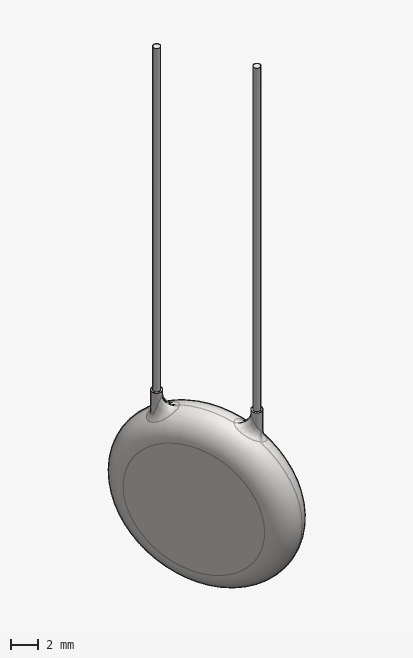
import cadquery as cq
import math

overall_height = 48.25
disc_diameter = 15.5
disc_radius = disc_diameter / 2
disc_thickness = 4.0
rim_radius = disc_thickness / 2
face_radius = disc_radius - rim_radius

lead_diameter = 0.6
lead_x = 3.7
lead_y = 0.68
lead_top = overall_height - disc_radius

sleeve_diameter = 0.85
sleeve_top = 8.75
sleeve_fillet = 0.95
root_z = disc_radius / 2

size_tolerance = 0.1


def make_disc():
    """Flat round disc with a fully rounded rim, revolved about Y."""
    rim_rise = rim_radius * math.sqrt(0.5)
    return (
        cq.Workplane("XY")
        .moveTo(0, -rim_radius)
        .lineTo(face_radius, -rim_radius)
        .threePointArc((face_radius + rim_rise, -rim_rise), (disc_radius, 0))
        .threePointArc((face_radius + rim_rise, rim_rise), (face_radius, rim_radius))
        .lineTo(0, rim_radius)
        .close()
        .revolve(360, (0, 0, 0), (0, 1, 0))
        .rotate((0, 0, 0), (0, 1, 0), 90)
    )


def upright_rod(side, diameter, bottom, top):
    """Vertical rod at one lead position; side is -1 or +1."""
    return (
        cq.Workplane("XY", origin=(side * lead_x, side * lead_y, bottom))
        .circle(diameter / 2)
        .extrude(top - bottom)
    )


def is_sleeve_root(edge):
    """True for the curves where a sleeve meets the rounded rim."""
    box = edge.BoundingBox()
    near_lead = abs(abs(edge.Center().x) - lead_x) < sleeve_diameter
    narrow = box.xlen <= sleeve_diameter + size_tolerance
    below_sleeve_top = box.zmax < sleeve_top - sleeve_diameter / 2
    plain = edge.geomType() in ("LINE", "CIRCLE")
    return near_lead and narrow and below_sleeve_top and not plain


body = make_disc()
for side in (-1, 1):
    body = body.union(upright_rod(side, sleeve_diameter, root_z, sleeve_top))

root_edges = [edge for edge in body.edges().vals() if is_sleeve_root(edge)]
body = body.newObject(root_edges).fillet(sleeve_fillet)

for side in (-1, 1):
    body = body.union(upright_rod(side, lead_diameter, root_z, lead_top))

result = body